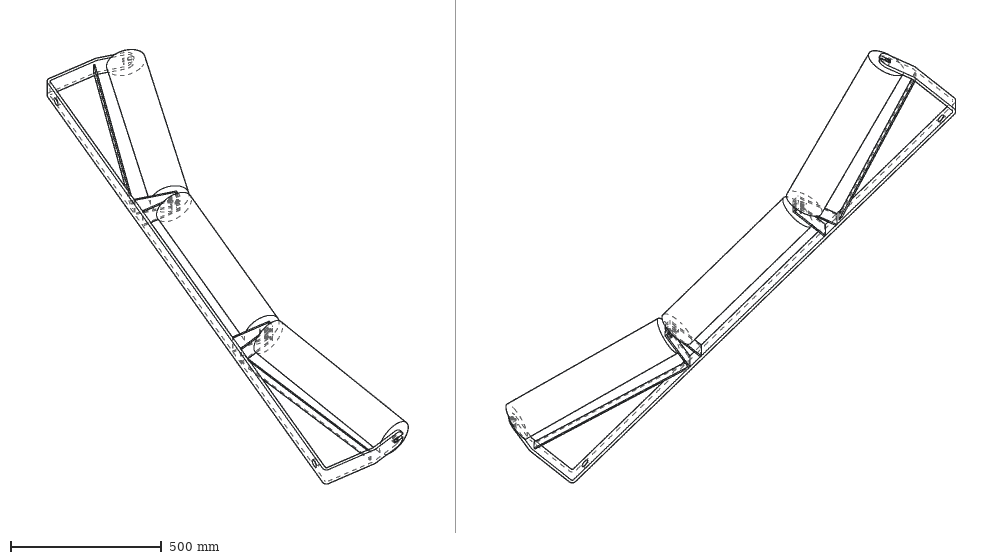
import cadquery as cq
import math


selection_reach = 1.0

overall_length = 1910.0
overall_depth = 348.61
trough_angle = 15.0
trough_sin = math.sin(math.radians(trough_angle))
trough_cos = math.cos(math.radians(trough_angle))
trough_tan = math.tan(math.radians(trough_angle))

bar_width = 75.0
bar_thickness = 10.0
half_length = overall_length / 2
corner_radius = 15.0
leg_bend_height = 192.0
leg_tip_length = 128.0
tip_corner_radius = 30.0
mounting_hole_diameter = 27.0
mounting_hole_inset = 72.0
mounting_hole_offset = half_length - mounting_hole_inset

roller_diameter = 133.0
roller_radius = roller_diameter / 2
roller_length = 600.0
spindle_height = 17.0
spindle_width = 16.0
spindle_end_length = 10.0
centre_roller_height = 124.5
side_roller_offset = 627.0
side_roller_height = overall_depth - roller_length / 2 * trough_sin - roller_radius * trough_cos
spindle_station = (roller_length + spindle_end_length) / 2

bracket_thickness = 5.0
bracket_height = 150.0
bracket_upright_offset = 305.5
bracket_foot_offset = 367.0

brace_thickness = 5.0
brace_width = 42.0
brace_leg_height = 182.0
brace_foot_offset = 377.0


def extrude_bar(outline, width):
    """Extrude a closed XY outline symmetrically about Z = 0."""
    return cq.Workplane("XY").polyline(outline).close().extrude(width / 2, both=True)


def edges_near(x, y):
    """Selector for edges centred close to (x, y) or its mirror image, at any Z."""
    def box_at(centre_x):
        low = (centre_x - selection_reach, y - selection_reach, -bar_width)
        high = (centre_x + selection_reach, y + selection_reach, bar_width)
        return cq.selectors.BoxSelector(low, high)

    return box_at(x) + box_at(-x)


def mirrored(body):
    """Copy of a left-hand body on the right-hand side."""
    return body.mirror("YZ")


def on_left_roller_axis(body):
    """Move a body built along X about the origin onto the left roller's axis."""
    turned = body.rotate((0, 0, 0), (0, 0, 1), -trough_angle)
    return turned.translate((-side_roller_offset, side_roller_height, 0))


def make_roller():
    """Roller along X, centred on the origin, with a rectangular spindle end at each side."""
    spindle_length = roller_length + 2 * spindle_end_length
    shell = cq.Workplane("YZ", origin=(-roller_length / 2, 0, 0)).circle(roller_radius).extrude(roller_length)
    return shell.union(cq.Workplane("XY").box(spindle_length, spindle_height, spindle_width))


def make_slot_cutter(station):
    """Slot open toward +Y for the spindle end at an X station of a roller centred on the origin."""
    length = 2 * spindle_end_length
    depth = bar_width
    slot = cq.Workplane("XY").box(length, depth, spindle_width)
    return slot.translate((station, (depth - spindle_height) / 2, 0))


def make_frame():
    """Base bar, legs and leaning tips in one piece, with spindle slots and mounting holes."""
    inner_x = half_length - bar_thickness
    inner_fold_y = leg_bend_height - bar_thickness * math.tan(math.radians(trough_angle / 2))
    tip_x = half_length - leg_tip_length * trough_sin
    tip_y = leg_bend_height + leg_tip_length * trough_cos
    inner_tip_x = tip_x - bar_thickness * trough_cos
    inner_tip_y = tip_y - bar_thickness * trough_sin
    outer_corner = (half_length, 0)
    inner_corner = (inner_x, bar_thickness)
    outer_fold = (half_length, leg_bend_height)
    inner_fold = (inner_x, inner_fold_y)
    right_half = [
        outer_corner,
        outer_fold,
        (tip_x, tip_y),
        (inner_tip_x, inner_tip_y),
        inner_fold,
        inner_corner,
    ]
    left_half = [(-x, y) for x, y in reversed(right_half)]
    frame = extrude_bar(right_half + left_half, bar_width)

    for x, y in (outer_corner, outer_fold):
        frame = frame.edges(edges_near(x, y)).fillet(corner_radius)
    for x, y in (inner_corner, inner_fold):
        frame = frame.edges(edges_near(x, y)).fillet(corner_radius - bar_thickness)

    tip_edges = edges_near((tip_x + inner_tip_x) / 2, (tip_y + inner_tip_y) / 2)
    frame = frame.edges(tip_edges).fillet(tip_corner_radius)

    slot = on_left_roller_axis(make_slot_cutter(-spindle_station))
    frame = frame.cut(slot).cut(mirrored(slot))

    holes = (
        cq.Workplane("XZ")
        .pushPoints([(-mounting_hole_offset, 0), (mounting_hole_offset, 0)])
        .circle(mounting_hole_diameter / 2)
        .extrude(-bar_thickness)
    )
    return frame.cut(holes)


def make_bracket():
    """Left bracket: upright plate, top bridge and a leaning plate square to the side roller."""
    top = bracket_height
    rise = bracket_height - bar_thickness
    foot_x = -bracket_foot_offset
    top_x = foot_x + rise * trough_tan
    lean_width = bracket_thickness / trough_cos
    inner_rise = rise - bracket_thickness
    inner_top = top - bracket_thickness
    upright_x = -bracket_upright_offset
    inner_upright_x = upright_x - bracket_thickness
    outline = [
        (foot_x, bar_thickness),
        (top_x, top),
        (upright_x, top),
        (upright_x, bar_thickness),
        (inner_upright_x, bar_thickness),
        (inner_upright_x, inner_top),
        (foot_x + lean_width + inner_rise * trough_tan, inner_top),
        (foot_x + lean_width, bar_thickness),
    ]
    bracket = extrude_bar(outline, bar_width)
    centre_slot = make_slot_cutter(-spindle_station).translate((0, centre_roller_height, 0))
    side_slot = on_left_roller_axis(make_slot_cutter(spindle_station))
    return bracket.cut(centre_slot).cut(side_slot)


def make_brace():
    """Left brace: thin bar from the inside of the leg down to the base bar."""
    leg_x = -half_length + bar_thickness
    foot_x = -brace_foot_offset
    slope = math.atan2(brace_leg_height - bar_thickness, foot_x - leg_x)
    outline = [
        (leg_x, brace_leg_height),
        (foot_x, bar_thickness),
        (foot_x - brace_thickness / math.sin(slope), bar_thickness),
        (leg_x, brace_leg_height - brace_thickness / math.cos(slope)),
    ]
    return extrude_bar(outline, brace_width)


frame = make_frame()
left_bracket = make_bracket()
left_brace = make_brace()
left_roller = on_left_roller_axis(make_roller())
centre_roller = make_roller().translate((0, centre_roller_height, 0))

bodies = [frame, centre_roller]
for left_body in (left_roller, left_bracket, left_brace):
    bodies += [left_body, mirrored(left_body)]

result = cq.Compound.makeCompound([body.val() for body in bodies])